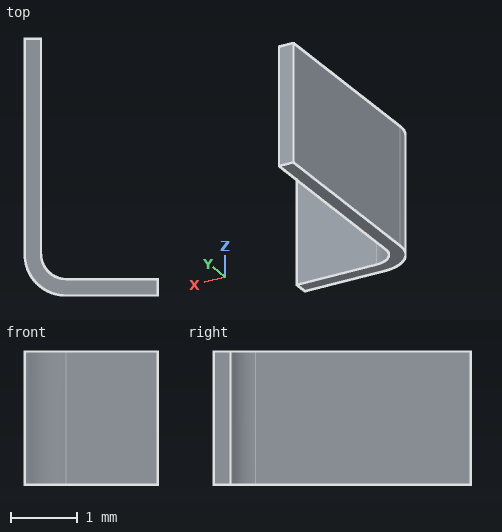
import cadquery as cq

long_leg = 3.85
short_leg = 2.0
strip_width = 2.0
thickness = 0.25
inner_radius = 0.375
outer_radius = inner_radius + thickness


def corner_block(length_x, length_y, bend_radius):
    """Block from the origin corner, with its vertical edge there rounded."""
    block = cq.Workplane("XY").box(length_x, length_y, strip_width, centered=False)
    return block.edges("|Z and <X and <Y").fillet(bend_radius)


outer_block = corner_block(short_leg, long_leg, outer_radius)
space_between_legs = corner_block(
    short_leg - thickness, long_leg - thickness, inner_radius
).translate((thickness, thickness, 0))

result = outer_block.cut(space_between_legs)